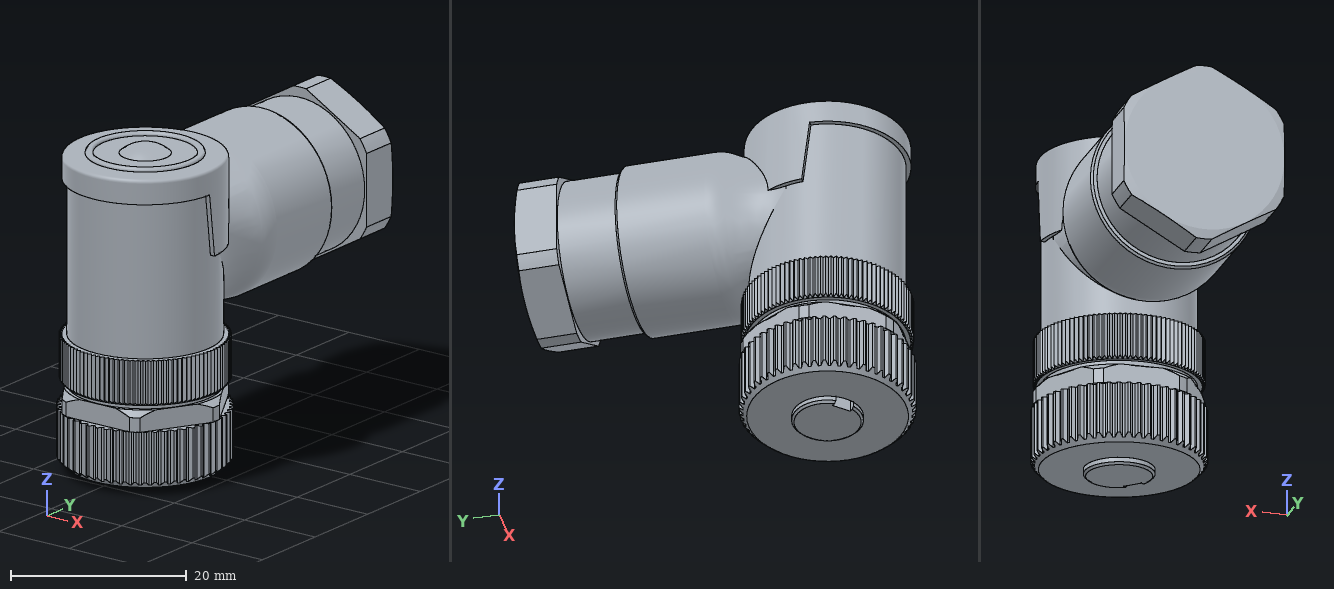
import cadquery as cq
import math


NUT_BOTTOM = 0.8
NUT_KNURL_TOP = 7.75
COLUMN_BOTTOM = 10.2
GRIP_BOTTOM = 10.75
GRIP_TOP = 16.2
BARREL_Z = 27.3
CAP_RIM_BOTTOM = 34.92
CAP_TOP = 37.95
TOTAL_HEIGHT = 39.1

NUT_R = 10.1
NUT_ROOT_R = 9.65
NUT_TEETH = 54
NUT_LAND = 0.25
NUT_FLATS = 18.05
NUT_TOP_CHAMFER = 0.7
NUT_BOTTOM_CHAMFER = 0.9

INSERT_R = 4.1
INSERT_CHAMFER = 0.25
KEYWAY_WIDTH = 2.3
KEYWAY_DEPTH = 0.9
KEYWAY_ANGLE = 225

COLUMN_R = 8.95
GRIP_R = 9.85
GRIP_ROOT_R = 9.48
GRIP_TEETH = 102
GRIP_CHAMFER = 0.35

CAP_R = 9.5
CAP_FILLET = 0.55
SKIRT_TOP_Y = -0.5
SKIRT_BOTTOM_Y = 0.45
BEAD_R = 6.4
BEAD_SECTION_R = 0.45
DOME_R = 3.0

MOUTH_Y = 2.55
THROAT_R = 8.25
THROAT_Y = 5.05
BLEND_JOIN_Y = 9.55
BARREL_START_Y = 11.8
BARREL_END_Y = 22.42
BARREL_R = 9.95
BARREL_CHAMFER = 0.25
NECK_R = 9.25

GLAND_START_Y = 29.35
GLAND_END_Y = 44.5 - NUT_R
GLAND_FLATS = 19.05
GLAND_CORNER_R = 10.5
GLAND_CHAMFER_LENGTH = 0.3
GLAND_CHAMFER_DEPTH = 1.02


def disc(radius, bottom, top):
    """Cylinder on the Z axis between two heights."""
    return cq.Workplane("XY").workplane(offset=bottom).circle(radius).extrude(top - bottom)


def corner_to_corner(flats):
    """Width of a hexagon across its sharp corners, from its width across flats."""
    return flats / math.cos(math.pi / 6)


def knurled_disc(root_r, tip_r, teeth, land, bottom, top):
    """Disc on Z with straight teeth, one valley facing -Y.

    Each tip and each valley is flat for `land` of the pitch; a land of 0 gives sharp V teeth.
    """
    pitch = 2 * math.pi / teeth
    half_land = land * pitch / 2
    edges = (-half_land, half_land) if land else (0,)
    points = []
    for tooth in range(teeth):
        valley = -math.pi / 2 + tooth * pitch
        tip = valley + pitch / 2
        for radius, middle in ((root_r, valley), (tip_r, tip)):
            for edge in edges:
                angle = middle + edge
                points.append((radius * math.cos(angle), radius * math.sin(angle)))
    outline = cq.Workplane("XY").workplane(offset=bottom).polyline(points).close()
    return outline.extrude(top - bottom)


def make_nut():
    """Coupling nut: knurled ring below a hexagon with rounded corners, bored for the insert."""
    knurl = knurled_disc(NUT_ROOT_R, NUT_R, NUT_TEETH, NUT_LAND, NUT_BOTTOM, NUT_KNURL_TOP)
    hexagon = (
        cq.Workplane("XY")
        .workplane(offset=NUT_KNURL_TOP)
        .polygon(6, corner_to_corner(NUT_FLATS))
        .extrude(COLUMN_BOTTOM - NUT_KNURL_TOP)
    )
    envelope = (
        disc(NUT_R, NUT_BOTTOM, COLUMN_BOTTOM)
        .faces(">Z")
        .chamfer(NUT_TOP_CHAMFER)
        .faces("<Z")
        .chamfer(NUT_BOTTOM_CHAMFER)
    )
    bore = disc(INSERT_R, NUT_BOTTOM, COLUMN_BOTTOM)
    return knurl.union(hexagon).intersect(envelope).cut(bore)


def make_insert():
    """Insert below the column, with a keyway along its side."""
    insert = disc(INSERT_R, 0, COLUMN_BOTTOM).faces("<Z").chamfer(INSERT_CHAMFER)
    keyway = (
        cq.Workplane("XY")
        .center(INSERT_R, 0)
        .rect(2 * KEYWAY_DEPTH, KEYWAY_WIDTH)
        .extrude(COLUMN_BOTTOM)
        .rotate((0, 0, 0), (0, 0, 1), KEYWAY_ANGLE)
    )
    return insert.cut(keyway)


def make_grip():
    """Knurled grip ring around the column, chamfered at its lower edge."""
    knurl = knurled_disc(GRIP_ROOT_R, GRIP_R, GRIP_TEETH, 0, GRIP_BOTTOM, GRIP_TOP)
    envelope = disc(GRIP_R, GRIP_BOTTOM, GRIP_TOP).faces("<Z").chamfer(GRIP_CHAMFER)
    return knurl.intersect(envelope)


def make_cap():
    """Cap with a rim all round and a skirt that reaches lower on the barrel side."""
    side = (
        cq.Workplane("YZ")
        .moveTo(-CAP_R, CAP_TOP)
        .lineTo(-CAP_R, CAP_RIM_BOTTOM)
        .lineTo(SKIRT_TOP_Y, CAP_RIM_BOTTOM)
        .lineTo(SKIRT_BOTTOM_Y, BARREL_Z)
        .lineTo(CAP_R, BARREL_Z)
        .lineTo(CAP_R, CAP_TOP)
        .close()
        .extrude(CAP_R, both=True)
    )
    return disc(CAP_R, BARREL_Z, CAP_TOP).faces(">Z").fillet(CAP_FILLET).intersect(side)


def make_bead():
    """Raised half-round ring on the cap."""
    return (
        cq.Workplane("XZ")
        .moveTo(BEAD_R - BEAD_SECTION_R, CAP_TOP)
        .threePointArc((BEAD_R, CAP_TOP + BEAD_SECTION_R), (BEAD_R + BEAD_SECTION_R, CAP_TOP))
        .close()
        .revolve(360, (0, 0, 0), (0, 1, 0))
    )


def make_dome():
    """Shallow spherical button at the middle of the cap."""
    rise = TOTAL_HEIGHT - CAP_TOP
    sphere_r = (DOME_R**2 + rise**2) / (2 * rise)
    sphere = cq.Workplane("XY").sphere(sphere_r).translate((0, 0, TOTAL_HEIGHT - sphere_r))
    return sphere.intersect(disc(DOME_R, CAP_TOP, TOTAL_HEIGHT))


def make_barrel():
    """Barrel and neck, waisted at the throat.

    From barrel to throat the outline is an S of two tangent arcs; the second arc carries on past
    the throat and widens again to the mouth, which lies just inside the column.
    """
    blend_slope = (BARREL_R - THROAT_R) / (BARREL_START_Y - THROAT_Y)
    join_length = BLEND_JOIN_Y - THROAT_Y
    join_rise = blend_slope * join_length
    join_r = THROAT_R + join_rise
    waist_arc_r = (join_length**2 + join_rise**2) / (2 * join_rise)
    mouth_r = THROAT_R + waist_arc_r - math.sqrt(waist_arc_r**2 - (THROAT_Y - MOUTH_Y) ** 2)
    return (
        cq.Workplane("XY")
        .moveTo(0, MOUTH_Y)
        .lineTo(0, GLAND_START_Y)
        .lineTo(NECK_R, GLAND_START_Y)
        .lineTo(NECK_R, BARREL_END_Y)
        .lineTo(BARREL_R - BARREL_CHAMFER, BARREL_END_Y)
        .lineTo(BARREL_R, BARREL_END_Y - BARREL_CHAMFER)
        .lineTo(BARREL_R, BARREL_START_Y)
        .tangentArcPoint((join_r, BLEND_JOIN_Y), relative=False)
        .tangentArcPoint((THROAT_R, THROAT_Y), relative=False)
        .tangentArcPoint((mouth_r, MOUTH_Y), relative=False)
        .close()
        .revolve(360, (0, 0, 0), (0, 1, 0))
        .translate((0, 0, BARREL_Z))
    )


def make_gland():
    """Gland hexagon with flats facing +X and -X, rounded corners and a chamfered outer end."""
    start = cq.Plane(origin=(0, GLAND_START_Y, BARREL_Z), xDir=(0, 0, 1), normal=(0, 1, 0))
    length = GLAND_END_Y - GLAND_START_Y
    envelope = (
        cq.Workplane(start)
        .circle(GLAND_CORNER_R)
        .extrude(length)
        .faces(">Y")
        .chamfer(GLAND_CHAMFER_LENGTH, GLAND_CHAMFER_DEPTH)
    )
    hexagon = cq.Workplane(start).polygon(6, corner_to_corner(GLAND_FLATS)).extrude(length)
    return hexagon.intersect(envelope)


def make_housing():
    """Elbow housing: column, insert, grip ring, cap, barrel and gland in one piece."""
    column = disc(COLUMN_R, COLUMN_BOTTOM, CAP_RIM_BOTTOM)
    housing = column.union(make_insert()).union(make_grip()).union(make_cap())
    housing = housing.union(make_bead()).union(make_dome())
    return housing.union(make_barrel()).union(make_gland())


housing = make_housing()
coupling_nut = make_nut()

result = cq.Compound.makeCompound([housing.solids().val(), coupling_nut.solids().val()])